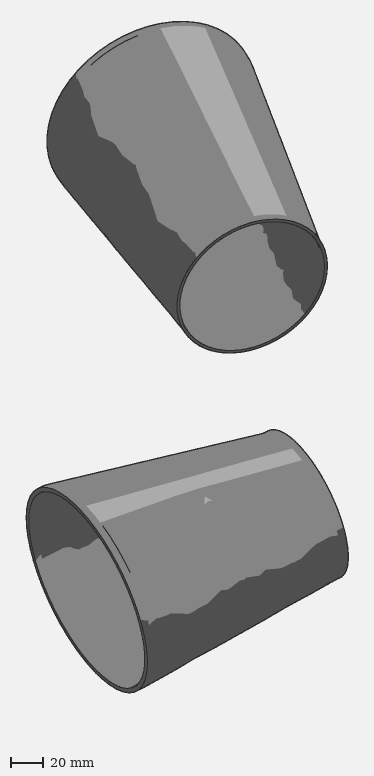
import cadquery as cq

length = 160.0
collar_length = 5.0
large_outer_diameter = 139.8
large_inner_diameter = 133.8
small_outer_diameter = 101.6
small_inner_diameter = 97.6

small_end_drop = (large_outer_diameter - small_outer_diameter) / 2
taper_length = length - 2 * collar_length


def reducer_body(large_diameter, small_diameter):
    """Solid reducer: a straight collar at each end joined by an eccentric taper."""
    large_end = cq.Workplane("YZ").circle(large_diameter / 2)
    large_collar = large_end.extrude(collar_length)
    taper = (
        cq.Workplane("YZ", origin=(collar_length, 0, 0))
        .circle(large_diameter / 2)
        .workplane(offset=taper_length)
        .center(0, -small_end_drop)
        .circle(small_diameter / 2)
        .loft(ruled=True)
    )
    small_collar = (
        cq.Workplane("YZ", origin=(length - collar_length, 0, -small_end_drop))
        .circle(small_diameter / 2)
        .extrude(collar_length)
    )
    return large_collar.union(taper).union(small_collar)


outer_body = reducer_body(large_outer_diameter, small_outer_diameter)
bore = reducer_body(large_inner_diameter, small_inner_diameter)
result = outer_body.cut(bore)